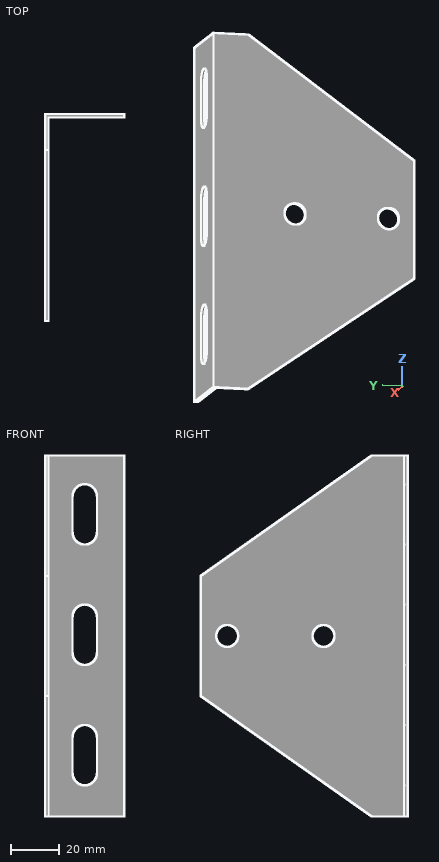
import cadquery as cq

FLANGE_WIDTH = 33.0
PLATE_DEPTH = 86.0
HEIGHT = 150.0
THICKNESS = 1.5

STRAIGHT_EDGE_DEPTH = 15.0
TIP_HEIGHT = 50.0
HOLE_DIAMETER = 9.0
HOLE_DEPTHS = (35.0, 75.0)

SLOT_LENGTH = 25.0
SLOT_WIDTH = 10.0
SLOT_PITCH = 50.0
SLOT_COUNT = 3
SLOT_TOP_MARGIN = 12.0

HALF_HEIGHT = HEIGHT / 2


def make_side_plate():
    """Plate on the YZ plane, tapering from the full height to the front tip."""
    half_tip = TIP_HEIGHT / 2
    outline = [
        (0, -HALF_HEIGHT),
        (-STRAIGHT_EDGE_DEPTH, -HALF_HEIGHT),
        (-PLATE_DEPTH, -half_tip),
        (-PLATE_DEPTH, half_tip),
        (-STRAIGHT_EDGE_DEPTH, HALF_HEIGHT),
        (0, HALF_HEIGHT),
    ]
    plate = cq.Workplane("YZ").polyline(outline).close().extrude(THICKNESS)
    hole_centres = [(-depth, 0) for depth in HOLE_DEPTHS]
    holes = cq.Workplane("YZ").pushPoints(hole_centres).circle(HOLE_DIAMETER / 2).extrude(THICKNESS)
    return plate.cut(holes)


def make_back_flange():
    """Rectangular flange on the XZ plane with a column of vertical slots."""
    flange = cq.Workplane("XY").box(FLANGE_WIDTH, THICKNESS, HEIGHT, centered=(False, False, True))
    flange = flange.translate((0, -THICKNESS, 0))
    top_slot_z = HALF_HEIGHT - SLOT_TOP_MARGIN - SLOT_LENGTH / 2
    middle_slot_z = top_slot_z - SLOT_PITCH * (SLOT_COUNT - 1) / 2
    slots = (
        cq.Workplane("XZ")
        .center(FLANGE_WIDTH / 2, middle_slot_z)
        .rarray(1, SLOT_PITCH, 1, SLOT_COUNT)
        .slot2D(SLOT_LENGTH, SLOT_WIDTH, angle=90)
        .extrude(THICKNESS)
    )
    return flange.cut(slots)


result = make_side_plate().union(make_back_flange())